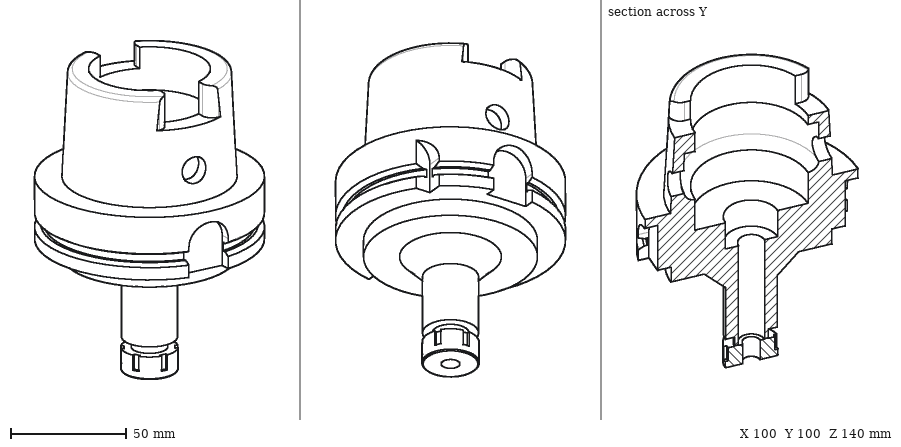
import cadquery as cq
import math


overall_height = 140.0

taper_height = 50.0
taper_base_radius = 38.1
taper_top_radius = 35.5
taper_edge_fillet = 2.0
clamp_bore_radius = 26.5
clamp_groove_roof_depth = 20.0
clamp_groove_radius = 31.5
clamp_groove_floor_z = 4.5
clamp_bore_floor_z = -12.0

drive_slot_width = 20.0
drive_slot_corner_x = 32.5
drive_slot_corner_radius = 5.0
short_slot_depth = 10.0
long_slot_depth = 15.0

radial_hole_diameter = 12.0
radial_hole_z = 15.0

flange_radius = 50.0
flange_height = 29.1
groove_center_depth = 20.2
groove_mouth_width = 6.5
groove_floor_width = 3.8
groove_ledge_radius = 47.3
groove_floor_radius = 45.9

keyway_width = 20.0
keyway_floor_x = 44.0
keyway_top_depth = 5.0
notch_floor_x = 31.5
notch_side_y = 31.6

boss_radius = 37.8
boss_height = 8.0
cone_height = 10.0
shank_radius = 12.2
cone_radius = shank_radius + cone_height
shank_height = 27.7
neck_radius = 8.0
neck_height = 4.6

coolant_bore_radius = 12.2
coolant_bore_depth = 14.0
center_bore_radius = 6.0

nut_radius = 12.5
nut_hole_radius = 4.0
nut_chamfer = 0.5
nut_slot_count = 6
nut_slot_width = 3.0
nut_slot_depth = 1.4
nut_slot_height = 7.0

boss_bottom_z = -flange_height - boss_height
cone_bottom_z = boss_bottom_z - cone_height
shank_bottom_z = cone_bottom_z - shank_height
neck_bottom_z = shank_bottom_z - neck_height
nut_bottom_z = taper_height - overall_height


def cylinder(radius, bottom_z, top_z):
    """Upright cylinder on the tool axis between two heights."""
    return cq.Workplane("XY").workplane(offset=bottom_z).circle(radius).extrude(top_z - bottom_z)


def make_outer_form():
    """Taper, flange, boss, cone, shank and neck turned as one solid."""
    groove_mouth_top_z = -groove_center_depth + groove_mouth_width / 2
    groove_mouth_bottom_z = -groove_center_depth - groove_mouth_width / 2
    groove_floor_top_z = -groove_center_depth + groove_floor_width / 2
    groove_floor_bottom_z = -groove_center_depth - groove_floor_width / 2
    profile = [
        (0, taper_height),
        (taper_top_radius, taper_height),
        (taper_base_radius, 0),
        (flange_radius, 0),
        (flange_radius, groove_mouth_top_z),
        (groove_ledge_radius, groove_floor_top_z),
        (groove_floor_radius, groove_floor_top_z),
        (groove_floor_radius, groove_floor_bottom_z),
        (groove_ledge_radius, groove_floor_bottom_z),
        (flange_radius, groove_mouth_bottom_z),
        (flange_radius, -flange_height),
        (boss_radius, -flange_height),
        (boss_radius, boss_bottom_z),
        (cone_radius, boss_bottom_z),
        (shank_radius, cone_bottom_z),
        (shank_radius, shank_bottom_z),
        (neck_radius, shank_bottom_z),
        (neck_radius, neck_bottom_z),
        (0, neck_bottom_z),
    ]
    form = cq.Workplane("XZ").polyline(profile).close().revolve(360, (0, 0), (0, 1))
    return form.faces(">Z").edges().fillet(taper_edge_fillet)


def make_clamp_groove():
    """Undercut inside the clamp bore, with a flat roof and a lower side curving in to the bore wall."""
    sweep_radius = clamp_groove_radius - clamp_bore_radius
    arc_center_z = clamp_groove_floor_z + sweep_radius
    arc_middle = (
        clamp_bore_radius + sweep_radius * math.sin(math.pi / 4),
        arc_center_z - sweep_radius * math.cos(math.pi / 4),
    )
    roof_z = taper_height - clamp_groove_roof_depth
    return (
        cq.Workplane("XZ")
        .moveTo(0, clamp_groove_floor_z)
        .lineTo(clamp_bore_radius, clamp_groove_floor_z)
        .threePointArc(arc_middle, (clamp_groove_radius, arc_center_z))
        .lineTo(clamp_groove_radius, roof_z)
        .lineTo(0, roof_z)
        .close()
        .revolve(360, (0, 0), (0, 1))
    )


def make_inner_cavity():
    """Stepped bores on the tool axis, from the clamping cavity down to the neck."""
    clamp_bore = cylinder(clamp_bore_radius, clamp_bore_floor_z, taper_height)
    coolant_bore_bottom_z = clamp_bore_floor_z - coolant_bore_depth
    coolant_bore = cylinder(coolant_bore_radius, coolant_bore_bottom_z, clamp_bore_floor_z)
    center_bore = cylinder(center_bore_radius, neck_bottom_z, coolant_bore_bottom_z)
    return clamp_bore.union(make_clamp_groove()).union(coolant_bore).union(center_bore)


def make_drive_slot(side, depth):
    """Slot through the rim on one X side (side is +1 or -1), its walls curving out into an end flat."""
    half_width = drive_slot_width / 2
    radius = drive_slot_corner_radius
    arc_start_x = drive_slot_corner_x - radius
    arc_end_y = half_width + radius
    arc_middle_x = arc_start_x + radius * math.sin(math.pi / 4)
    arc_middle_y = arc_end_y - radius * math.cos(math.pi / 4)
    return (
        cq.Workplane("XY")
        .workplane(offset=taper_height - depth)
        .moveTo(0, -half_width)
        .lineTo(side * arc_start_x, -half_width)
        .threePointArc((side * arc_middle_x, -arc_middle_y), (side * drive_slot_corner_x, -arc_end_y))
        .lineTo(side * drive_slot_corner_x, -taper_base_radius)
        .lineTo(side * taper_base_radius, -taper_base_radius)
        .lineTo(side * taper_base_radius, taper_base_radius)
        .lineTo(side * drive_slot_corner_x, taper_base_radius)
        .lineTo(side * drive_slot_corner_x, arc_end_y)
        .threePointArc((side * arc_middle_x, arc_middle_y), (side * arc_start_x, half_width))
        .lineTo(0, half_width)
        .close()
        .extrude(depth)
    )


def make_keyway(side, floor_x, center_y):
    """Round-topped cut in the flange, from floor_x outwards on one X side, open at the bottom."""
    radius = keyway_width / 2
    arc_center_z = -keyway_top_depth - radius
    return (
        cq.Workplane("YZ")
        .workplane(offset=side * floor_x)
        .moveTo(center_y - radius, -flange_height)
        .lineTo(center_y - radius, arc_center_z)
        .threePointArc((center_y, -keyway_top_depth), (center_y + radius, arc_center_z))
        .lineTo(center_y + radius, -flange_height)
        .close()
        .extrude(side * (flange_radius - floor_x))
    )


def make_radial_hole():
    """Cross hole along X through both walls of the taper."""
    return (
        cq.Workplane("YZ")
        .center(0, radial_hole_z)
        .circle(radial_hole_diameter / 2)
        .extrude(taper_base_radius, both=True)
    )


def make_holder():
    """Collet holder with its hollow taper."""
    holder = make_outer_form().cut(make_inner_cavity()).cut(make_radial_hole())
    holder = holder.cut(make_drive_slot(-1, short_slot_depth)).cut(make_drive_slot(1, long_slot_depth))
    for side in (-1, 1):
        holder = holder.cut(make_keyway(side, keyway_floor_x, 0))
    notch_center_y = notch_side_y + keyway_width / 2
    return holder.cut(make_keyway(-1, notch_floor_x, notch_center_y))


def make_nut():
    """Clamping nut seated against the end of the neck, with wrench slots open at its top."""
    nut = cylinder(nut_radius, nut_bottom_z, neck_bottom_z).faces("<Z").edges().chamfer(nut_chamfer)
    nut = nut.cut(cylinder(nut_hole_radius, nut_bottom_z, neck_bottom_z))
    slots = (
        cq.Workplane("XY")
        .workplane(offset=neck_bottom_z)
        .polarArray(nut_radius, 0, 360, nut_slot_count)
        .rect(2 * nut_slot_depth, nut_slot_width)
        .extrude(-nut_slot_height)
    )
    return nut.cut(slots)


holder = make_holder()
nut = make_nut()
result = cq.Compound.makeCompound([*holder.solids().vals(), *nut.solids().vals()])